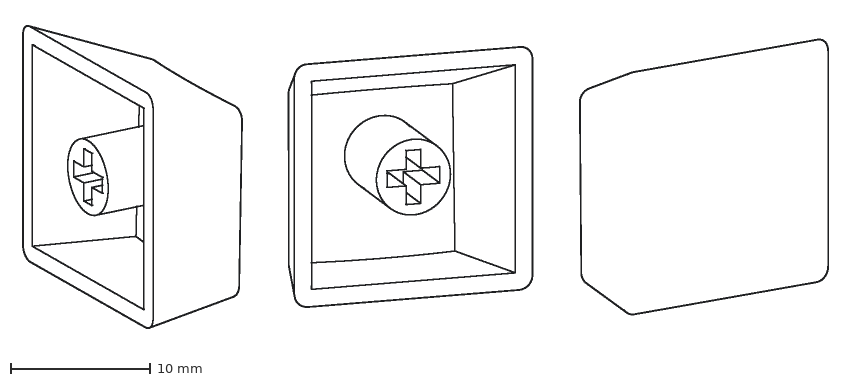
import cadquery as cq
import math

base_size = 18.0
side_taper = 15.6
roof_taper = 21.3
corner_radius = 1.0
blank_height = 10.8

dish_height = 8.51
dish_tilt = 1.4
dish_radius = 39.96
top_edge_radius = 0.29

wall = 1.3
cavity_side_taper = 16.0
cavity_roof_taper = 21.8

stem_diameter = 5.6
cross_span = 4.0
cross_upright_width = 1.1
cross_bar_height = 1.22
cross_depth = 4.0

cavity_size = base_size - 2 * wall
cavity_height = dish_height - wall


def tapered_block(size, side_angle, roof_angle):
    """Block on Y = 0 with leaning X sides, a leaning +Z side and an upright -Z side."""
    half = size / 2
    top_half = half - blank_height * math.tan(math.radians(side_angle))
    top_roof = half - blank_height * math.tan(math.radians(roof_angle))
    across = (
        cq.Workplane("XY")
        .polyline([(-half, 0), (half, 0), (top_half, blank_height), (-top_half, blank_height)])
        .close()
        .extrude(half, both=True)
    )
    profile = (
        cq.Workplane("YZ")
        .polyline([(0, -half), (blank_height, -half), (blank_height, top_roof), (0, half)])
        .close()
        .extrude(half, both=True)
    )
    return across.intersect(profile)


def dish_cutter(height):
    """Long tilted cylinder whose lowest line crosses Z = 0 at the given Y."""
    axis_height = height + dish_radius / math.cos(math.radians(dish_tilt))
    return (
        cq.Workplane("XY")
        .circle(dish_radius)
        .extrude(base_size, both=True)
        .rotate((0, 0, 0), (1, 0, 0), -dish_tilt)
        .translate((0, axis_height, 0))
    )


def outer_cap():
    blank = tapered_block(base_size, side_taper, roof_taper)
    blank = blank.edges("not(|X or |Z)").fillet(corner_radius)
    cap = blank.cut(dish_cutter(dish_height))
    return cap.faces(">Y").edges().fillet(top_edge_radius)


def cavity():
    block = tapered_block(cavity_size, cavity_side_taper, cavity_roof_taper)
    return block.cut(dish_cutter(cavity_height))


def stem():
    post_length = cavity_height + wall / 2
    post = cq.Workplane("XZ").circle(stem_diameter / 2).extrude(-post_length)
    upright = cq.Workplane("XZ").rect(cross_upright_width, cross_span).extrude(-cross_depth)
    bar = cq.Workplane("XZ").rect(cross_span, cross_bar_height).extrude(-cross_depth)
    return post.cut(upright).cut(bar)


result = outer_cap().cut(cavity()).union(stem())